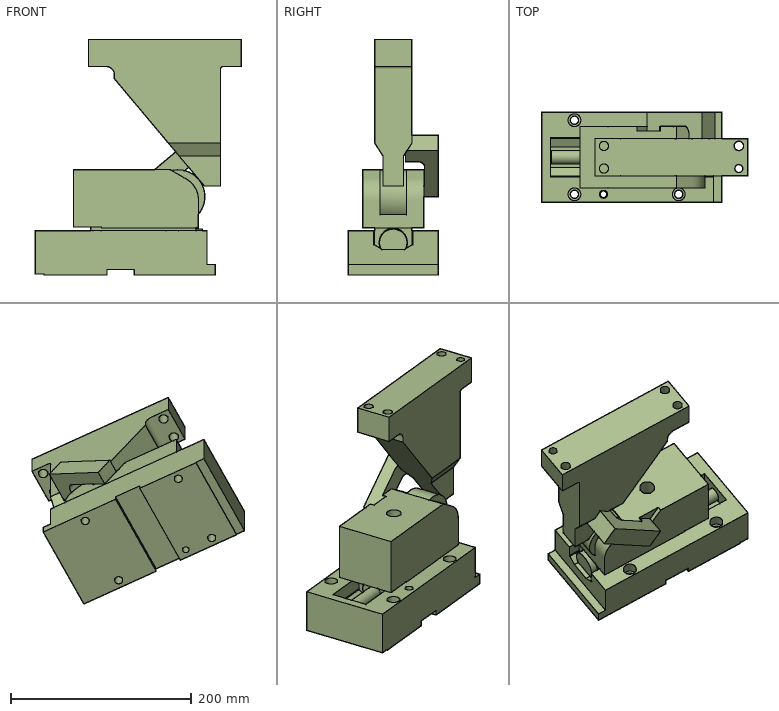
import cadquery as cq
import math


BASE_LENGTH = 200.2
BASE_WIDTH = 100.0
BASE_HEIGHT = 49.5
FOOT_LENGTH = 9.2
FOOT_HEIGHT = 12.0
KEYWAY_START = 80.0
KEYWAY_LENGTH = 30.0
KEYWAY_DEPTH = 6.0
RELIEF_LENGTH = 10.0
RELIEF_DEPTH = 1.0
GROOVE_START = 10.0
GROOVE_WIDTH = 43.5
GROOVE_WALL_DEPTH = 16.0
GROOVE_FLOOR_WIDTH = 23.0
GROOVE_SLOPE = 30.0
BOLT_X = (36.5, 152.2)
BOLT_Y = 41.1
BOLT_DIAMETER = 9.0
BOLT_HEAD_DIAMETER = 14.1
BOLT_HEAD_DEPTH = 13.0
DOWEL_X = 68.6
DOWEL_DIAMETER = 9.0
DOWEL_DEPTH = 13.0
DOWEL_DRILL_DIAMETER = 7.0

SPRING_RADIUS = 15.2
SPRING_TOP_RISE = 1.8
SPRING_END = 185.8
SPRING_Z = BASE_HEIGHT + SPRING_TOP_RISE - SPRING_RADIUS
ROD_RADIUS = 7.5
ROD_START = 10.7

SLIDE_START = 42.5
SLIDE_END = 181.3
SLIDE_WIDTH = 68.0
SLIDE_TOP = 117.5
SLIDE_BOTTOM = 52.7
SLIDE_RELIEF_LENGTH = 31.5
SLIDE_RELIEF_DEPTH = 0.8
NOSE_ANGLE = 30.0
NOSE_START = 149.5
NOSE_RADIUS = 26.2
RIDGE_START = 61.5
RIDGE_END = 178.5
GUIDE_WIDTH = 41.5
SPRING_CLEARANCE = 0.5
LIFT_HOLE_X = SLIDE_START + 59.0
LIFT_HOLE_DIAMETER = 16.2
LIFT_HOLE_DEPTH = 21.0

ROLLER_RADIUS = 29.9
ROLLER_WIDTH = 29.9
ROLLER_X = 158.8
ROLLER_TOP_DROP = 0.3
ROLLER_Z = SLIDE_TOP - ROLLER_TOP_DROP - ROLLER_RADIUS

DRIVE_ANGLE = 50.0
DRIVER_TOP = 262.0
DRIVER_BOTTOM = 99.0
FLANGE_START = 59.2
FLANGE_END = 229.0
FLANGE_THICKNESS = 30.5
STEM_START = 87.8
STEM_END = 206.0
STEM_LEFT_FILLET = 8.6
STEM_RIGHT_FILLET = 3.0
NECK_WIDTH = 23.3
TAPER_TOP = 146.7
TAPER_BOTTOM = 132.5
FLANGE_HOLE_INSET = 10.0
FLANGE_HOLE_SPACING = 25.2
FLANGE_HOLE_DIAMETER = 10.2
FLANGE_PIN_DIAMETER = 8.6

HOOK_X = 117.0
HOOK_Z = 104.3
HOOK_LENGTH = 79.6
HOOK_DEPTH = 22.5
HOOK_OUTER_Y = BASE_WIDTH / 2
HOOK_INNER_Y = 34.5
HOOK_LIP_LENGTH = 19.0
HOOK_LIP_Y = 29.3
HOOK_ARM_LENGTH = 19.0
HOOK_ARM_Y = 13.4
HOOK_FILLET = 7.9


def box(x_range, y_range, z_range):
    """Box between the given lower and upper limits."""
    limits = (x_range, y_range, z_range)
    corner = tuple(low for low, high in limits)
    size = tuple(high - low for low, high in limits)
    return cq.Workplane("XY").box(*size, centered=False).translate(corner)


def hole(x, y, top, diameter, depth):
    """Upright cylinder going down from the given top."""
    return cq.Workplane("XY", origin=(x, y, top - depth)).circle(diameter / 2).extrude(depth)


def centred_prism(outline, width):
    """Closed XZ outline extruded to a width centred on Y = 0."""
    return outline.extrude(width).translate((0, width / 2, 0))


def spring_cylinder(start, end, radius):
    """Cylinder on the gas spring's axis."""
    return cq.Workplane("YZ", origin=(start, 0, SPRING_Z)).circle(radius).extrude(end - start)


def groove_space(start, end):
    """Space inside the groove of the base: walls, narrow ledges and a flat-bottomed V."""
    wall_y = GROOVE_WIDTH / 2
    ledge_y = GUIDE_WIDTH / 2
    floor_y = GROOVE_FLOOR_WIDTH / 2
    ledge_z = BASE_HEIGHT - GROOVE_WALL_DEPTH
    floor_z = ledge_z - (ledge_y - floor_y) * math.tan(math.radians(GROOVE_SLOPE))
    return (
        cq.Workplane("YZ", origin=(start, 0, 0))
        .moveTo(-wall_y, BASE_HEIGHT)
        .lineTo(-wall_y, ledge_z)
        .lineTo(-ledge_y, ledge_z)
        .lineTo(-floor_y, floor_z)
        .lineTo(floor_y, floor_z)
        .lineTo(ledge_y, ledge_z)
        .lineTo(wall_y, ledge_z)
        .lineTo(wall_y, BASE_HEIGHT)
        .close()
        .extrude(end - start)
    )


def make_spring():
    rod = spring_cylinder(ROD_START, RIDGE_START, ROD_RADIUS)
    return rod.union(spring_cylinder(RIDGE_START, SPRING_END, SPRING_RADIUS))


def make_roller():
    disc = cq.Workplane("XZ").center(ROLLER_X, ROLLER_Z).circle(ROLLER_RADIUS)
    return centred_prism(disc, ROLLER_WIDTH)


def make_base(spring):
    step_x = BASE_LENGTH - FOOT_LENGTH
    keyway_end = KEYWAY_START + KEYWAY_LENGTH
    outline = (
        cq.Workplane("XZ")
        .moveTo(0, RELIEF_DEPTH)
        .lineTo(RELIEF_LENGTH, RELIEF_DEPTH)
        .lineTo(RELIEF_LENGTH, 0)
        .lineTo(KEYWAY_START, 0)
        .lineTo(KEYWAY_START, KEYWAY_DEPTH)
        .lineTo(keyway_end, KEYWAY_DEPTH)
        .lineTo(keyway_end, 0)
        .lineTo(BASE_LENGTH, 0)
        .lineTo(BASE_LENGTH, FOOT_HEIGHT)
        .lineTo(step_x, FOOT_HEIGHT)
        .lineTo(step_x, BASE_HEIGHT)
        .lineTo(0, BASE_HEIGHT)
        .close()
    )
    base = centred_prism(outline, BASE_WIDTH)
    base = base.cut(groove_space(GROOVE_START, step_x)).cut(spring)
    for x in BOLT_X:
        for y in (-BOLT_Y, BOLT_Y):
            base = base.cut(hole(x, y, BASE_HEIGHT, BOLT_DIAMETER, BASE_HEIGHT))
            base = base.cut(hole(x, y, BASE_HEIGHT, BOLT_HEAD_DIAMETER, BOLT_HEAD_DEPTH))
    base = base.cut(hole(DOWEL_X, -BOLT_Y, BASE_HEIGHT, DOWEL_DIAMETER, DOWEL_DEPTH))
    return base.cut(hole(DOWEL_X, -BOLT_Y, BASE_HEIGHT, DOWEL_DRILL_DIAMETER, BASE_HEIGHT))


def place_on_hook(shape):
    """Move a shape built along the hook (X along its length, -Z along the driver's slope) into place."""
    return shape.rotate((0, 0, 0), (0, 1, 0), DRIVE_ANGLE - 90).translate((HOOK_X, 0, HOOK_Z))


def make_hook():
    arm_start = HOOK_LENGTH - HOOK_ARM_LENGTH
    outline = (
        cq.Workplane("XY")
        .moveTo(0, HOOK_OUTER_Y)
        .lineTo(HOOK_LENGTH, HOOK_OUTER_Y)
        .lineTo(HOOK_LENGTH, HOOK_ARM_Y)
        .lineTo(arm_start, HOOK_ARM_Y)
        .lineTo(arm_start, HOOK_INNER_Y - HOOK_FILLET)
        .radiusArc((arm_start - HOOK_FILLET, HOOK_INNER_Y), -HOOK_FILLET)
        .lineTo(HOOK_LIP_LENGTH, HOOK_INNER_Y)
        .lineTo(HOOK_LIP_LENGTH, HOOK_LIP_Y)
        .lineTo(0, HOOK_LIP_Y)
        .close()
    )
    return place_on_hook(outline.extrude(-HOOK_DEPTH))


def slide_block():
    """Slide body with the sloping, rounded nose and the raised left end of its underside."""
    slope = math.radians(NOSE_ANGLE)
    arc_x = SLIDE_END - NOSE_RADIUS * (1 - math.sin(slope))
    arc_z = SLIDE_TOP - (arc_x - NOSE_START) * math.tan(slope)
    arc_end_z = arc_z - NOSE_RADIUS * math.cos(slope)
    relief_x = SLIDE_START + SLIDE_RELIEF_LENGTH
    relief_z = SLIDE_BOTTOM + SLIDE_RELIEF_DEPTH
    outline = (
        cq.Workplane("XZ")
        .moveTo(SLIDE_START, relief_z)
        .lineTo(relief_x, relief_z)
        .lineTo(relief_x, SLIDE_BOTTOM)
        .lineTo(SLIDE_END, SLIDE_BOTTOM)
        .lineTo(SLIDE_END, arc_end_z)
        .radiusArc((arc_x, arc_z), -NOSE_RADIUS)
        .lineTo(NOSE_START, SLIDE_TOP)
        .lineTo(SLIDE_START, SLIDE_TOP)
        .close()
    )
    return centred_prism(outline, SLIDE_WIDTH)


def slide_ridge():
    """Guide ridge under the slide, shaped to the V groove it runs in."""
    half = GUIDE_WIDTH / 2
    above = box((RIDGE_START, RIDGE_END), (-half, half), (BASE_HEIGHT, SLIDE_BOTTOM + SLIDE_RELIEF_DEPTH))
    full = box((RIDGE_START, RIDGE_END), (-half, half), (0, BASE_HEIGHT))
    return above.union(full.intersect(groove_space(RIDGE_START, RIDGE_END)))


def make_slide(roller):
    half_roller = ROLLER_WIDTH / 2
    slide = slide_block().union(slide_ridge())
    slide = slide.cut(spring_cylinder(RIDGE_START, RIDGE_END, SPRING_RADIUS + SPRING_CLEARANCE))
    pocket = box((NOSE_START, SLIDE_END), (-half_roller, half_roller), (ROLLER_Z, SLIDE_TOP))
    slide = slide.cut(roller).cut(pocket)
    lip_slot = box((0, HOOK_LIP_LENGTH), (HOOK_LIP_Y, SLIDE_WIDTH / 2), (-HOOK_DEPTH, SLIDE_TOP))
    slide = slide.cut(place_on_hook(lip_slot))
    return slide.cut(hole(LIFT_HOLE_X, 0, SLIDE_TOP, LIFT_HOLE_DIAMETER, LIFT_HOLE_DEPTH))


def make_driver(hook):
    slope = math.radians(DRIVE_ANGLE)
    touch_x = ROLLER_X + ROLLER_RADIUS * math.sin(slope)
    touch_z = ROLLER_Z + ROLLER_RADIUS * math.cos(slope)
    slope_top_z = touch_z + (touch_x - STEM_START) * math.tan(slope)
    slope_end_x = touch_x + (touch_z - DRIVER_BOTTOM) / math.tan(slope)
    flange_z = DRIVER_TOP - FLANGE_THICKNESS
    outline = (
        cq.Workplane("XZ")
        .moveTo(FLANGE_START, DRIVER_TOP)
        .lineTo(FLANGE_START, flange_z)
        .lineTo(STEM_START - STEM_LEFT_FILLET, flange_z)
        .radiusArc((STEM_START, flange_z - STEM_LEFT_FILLET), STEM_LEFT_FILLET)
        .lineTo(STEM_START, slope_top_z)
        .lineTo(slope_end_x, DRIVER_BOTTOM)
        .lineTo(STEM_END, DRIVER_BOTTOM)
        .lineTo(STEM_END, flange_z - STEM_RIGHT_FILLET)
        .radiusArc((STEM_END + STEM_RIGHT_FILLET, flange_z), STEM_RIGHT_FILLET)
        .lineTo(FLANGE_END, flange_z)
        .lineTo(FLANGE_END, DRIVER_TOP)
        .close()
    )
    driver = centred_prism(outline, GUIDE_WIDTH)

    for side in (-1, 1):
        taper = (
            cq.Workplane("YZ")
            .moveTo(side * GUIDE_WIDTH / 2, TAPER_TOP)
            .lineTo(side * NECK_WIDTH / 2, TAPER_BOTTOM)
            .lineTo(side * NECK_WIDTH / 2, DRIVER_BOTTOM)
            .lineTo(side * GUIDE_WIDTH / 2, DRIVER_BOTTOM)
            .close()
            .extrude(FLANGE_END)
        )
        driver = driver.cut(taper)

    for x in (FLANGE_START + FLANGE_HOLE_INSET, FLANGE_END - FLANGE_HOLE_INSET):
        for y in (-FLANGE_HOLE_SPACING / 2, FLANGE_HOLE_SPACING / 2):
            is_pin = x > STEM_END and y < 0
            diameter = FLANGE_PIN_DIAMETER if is_pin else FLANGE_HOLE_DIAMETER
            driver = driver.cut(hole(x, y, DRIVER_TOP, diameter, FLANGE_THICKNESS))

    return driver.cut(hook)


spring = make_spring()
roller = make_roller()
hook = make_hook()
base = make_base(spring)
slide = make_slide(roller)
driver = make_driver(hook)

bodies = [base, spring, slide, roller, driver, hook]
result = cq.Compound.makeCompound([body.solids().val() for body in bodies])